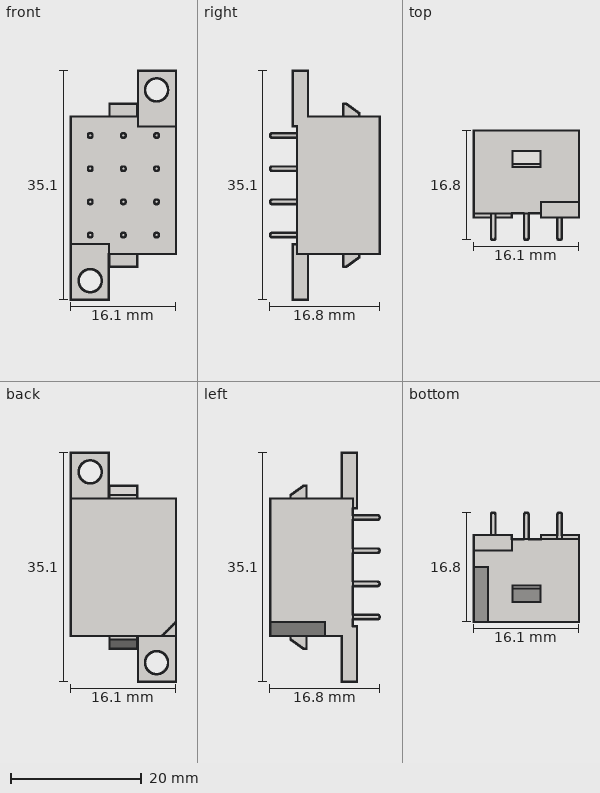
import cadquery as cq

BODY_WIDTH = 16.15
BODY_DEPTH = 12.7
BODY_HEIGHT = 21.08
BODY_RIGHT = BODY_WIDTH / 2
BODY_TOP = BODY_HEIGHT / 2

PIN_PITCH = 5.08
PIN_COLUMNS = 3
PIN_ROWS = 4
PIN_DIAMETER = 0.74
PIN_RADIUS = PIN_DIAMETER / 2
OVERALL_DEPTH = 16.8
PIN_LENGTH = OVERALL_DEPTH - BODY_DEPTH

OVERALL_HEIGHT = 35.09
EAR_WIDTH = 5.85
EAR_HEIGHT = 8.53
EAR_THICKNESS = 2.4
EAR_STANDOFF = 0.65
EAR_HOLE_DIAMETER = 3.5
EAR_HOLE_X = PIN_PITCH
EAR_HOLE_Z = 14.6

LATCH_WIDTH = 4.3
LATCH_DEPTH = 2.48
LATCH_HEIGHT = 1.96
LATCH_TOE_HEIGHT = 0.5
LATCH_CREST_DEPTH = 0.45
LATCH_EDGE_RADIUS = 0.1
LATCH_BACK_OFFSET = 3.12

KEY_CHAMFER = 2.2
KEY_LENGTH = 8.43

BACK_FACE = BODY_DEPTH
EAR_FRONT = -EAR_STANDOFF


def turned_half_around_y(shape):
    return shape.rotate((0, 0, 0), (0, 1, 0), 180)


def make_body():
    body = cq.Workplane("XY").box(BODY_WIDTH, BODY_DEPTH, BODY_HEIGHT, centered=(True, False, True))
    key_cutter = (
        cq.Workplane("XZ", origin=(-BODY_RIGHT, BACK_FACE, -BODY_TOP))
        .polyline([(0, 0), (KEY_CHAMFER, 0), (0, KEY_CHAMFER)])
        .close()
        .extrude(KEY_LENGTH)
    )
    return body.cut(key_cutter)


def make_upper_ear():
    ear_left = BODY_RIGHT - EAR_WIDTH
    ear_bottom = OVERALL_HEIGHT / 2 - EAR_HEIGHT
    ear = cq.Workplane("XY").box(EAR_WIDTH, EAR_THICKNESS, EAR_HEIGHT, centered=False)
    ear = ear.translate((ear_left, EAR_FRONT, ear_bottom))
    hole = (
        cq.Workplane("XZ", origin=(EAR_HOLE_X, EAR_FRONT, EAR_HOLE_Z))
        .circle(EAR_HOLE_DIAMETER / 2)
        .extrude(-EAR_THICKNESS)
    )
    return ear.cut(hole)


def make_upper_latch():
    """Ramp rising toward the pin face to a narrow flat crest with a rounded edge."""
    toe_y = BACK_FACE - LATCH_BACK_OFFSET
    heel_y = toe_y - LATCH_DEPTH
    crest_z = BODY_TOP + LATCH_HEIGHT
    profile = (
        cq.Workplane("YZ")
        .moveTo(toe_y, BODY_TOP)
        .lineTo(toe_y, BODY_TOP + LATCH_TOE_HEIGHT)
        .lineTo(heel_y + LATCH_CREST_DEPTH, crest_z)
        .lineTo(heel_y + LATCH_EDGE_RADIUS, crest_z)
        .radiusArc((heel_y, crest_z - LATCH_EDGE_RADIUS), -LATCH_EDGE_RADIUS)
        .lineTo(heel_y, BODY_TOP)
        .close()
    )
    return profile.extrude(LATCH_WIDTH / 2, both=True)


def make_pins():
    """Round pins with hemispherical tips, on the pin face."""
    shank_length = PIN_LENGTH - PIN_RADIUS
    profile = (
        cq.Workplane("XY")
        .lineTo(PIN_RADIUS, 0)
        .lineTo(PIN_RADIUS, -shank_length)
        .radiusArc((0, -PIN_LENGTH), PIN_RADIUS)
        .close()
    )
    pin = profile.revolve(360, (0, 0, 0), (0, 1, 0))
    pins = cq.Workplane("XY")
    for column in range(PIN_COLUMNS):
        x = (column - (PIN_COLUMNS - 1) / 2) * PIN_PITCH
        for row in range(PIN_ROWS):
            z = (row - (PIN_ROWS - 1) / 2) * PIN_PITCH
            pins.add(pin.translate((x, 0, z)))
    return pins.combine()


result = make_body().union(make_pins())
for upper_feature in (make_upper_ear(), make_upper_latch()):
    result = result.union(upper_feature).union(turned_half_around_y(upper_feature))